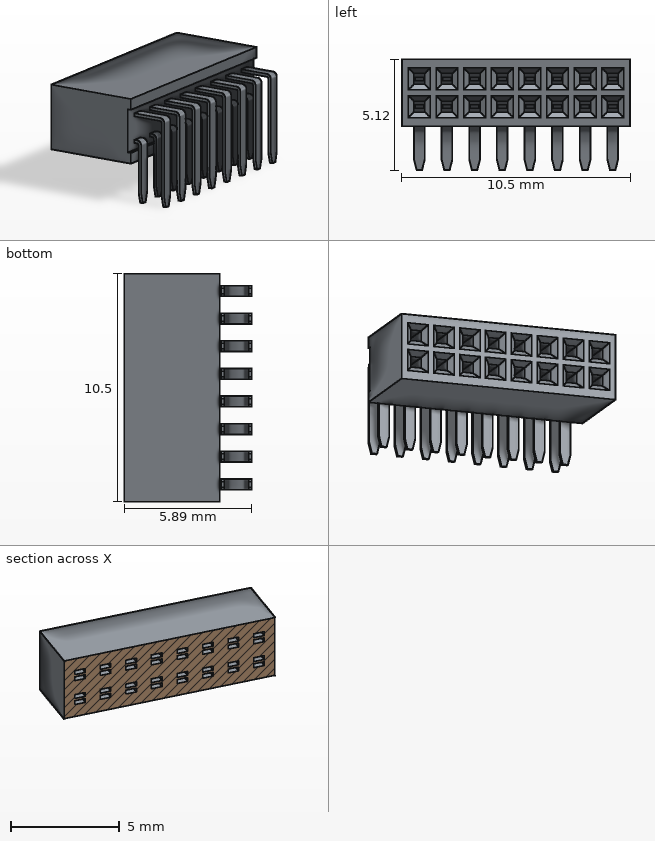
import cadquery as cq

housing_length = 10.51
housing_depth = 4.4
housing_height = 3.1
rear_recess_depth = 0.17
rear_lip_height = 0.51

pitch = 1.27
columns = 8
column_ys = [(index - (columns - 1) / 2) * pitch for index in range(columns)]
lower_row_z = (housing_height - pitch) / 2
upper_row_z = (housing_height + pitch) / 2

pin_width = 0.5
socket_width = pin_width
funnel_depth = 0.25
funnel_mouth = socket_width + 2 * funnel_depth
socket_depth = 3.15

pin_thickness = 0.15
bend_radius = 0.23
inner_bend_radius = bend_radius - pin_thickness
upper_pin_reach = 5.89
lower_pin_reach = upper_pin_reach - pitch
pin_drop = 2.02
tail_taper_length = 0.49
tail_tip_width = 0.25
nose_x = 2.1
nose_taper_length = 0.42
nose_width = 0.4


def make_housing():
    """Plain block with a recess along the rear, between an upper and a lower lip."""
    block = cq.Workplane("XY").box(
        housing_depth, housing_length, housing_height, centered=(False, True, False)
    )
    recess = (
        cq.Workplane("XY")
        .box(
            rear_recess_depth,
            housing_length,
            housing_height - 2 * rear_lip_height,
            centered=(False, True, False),
        )
        .translate((housing_depth - rear_recess_depth, 0, rear_lip_height))
    )
    return block.cut(recess)


def make_socket():
    """Cutter for one socket, centred on the X axis and entering at X = 0."""
    funnel = (
        cq.Workplane("YZ")
        .rect(funnel_mouth, funnel_mouth)
        .workplane(offset=funnel_depth)
        .rect(socket_width, socket_width)
        .loft(ruled=True)
    )
    hole = cq.Workplane("YZ").rect(socket_width, socket_width).extrude(socket_depth)
    return funnel.union(hole)


def make_pin(row_z, reach):
    """Pin at Y = 0 running along X at row_z, then bent straight down at X = reach."""
    top_z = row_z + pin_thickness / 2
    under_z = row_z - pin_thickness / 2
    inner_x = reach - pin_thickness
    bend_x = reach - bend_radius
    bend_z = top_z - bend_radius
    strip = (
        cq.Workplane("XZ")
        .moveTo(nose_x, top_z)
        .lineTo(bend_x, top_z)
        .radiusArc((reach, bend_z), bend_radius)
        .lineTo(reach, -pin_drop)
        .lineTo(inner_x, -pin_drop)
        .lineTo(inner_x, bend_z)
        .radiusArc((bend_x, under_z), -inner_bend_radius)
        .lineTo(nose_x, under_z)
        .close()
        .extrude(pin_width / 2, both=True)
    )

    half_width = pin_width / 2
    half_tip = tail_tip_width / 2
    taper_start_z = tail_taper_length - pin_drop
    tail_outline = (
        cq.Workplane("YZ")
        .polyline([
            (-half_width, top_z),
            (half_width, top_z),
            (half_width, taper_start_z),
            (half_tip, -pin_drop),
            (-half_tip, -pin_drop),
            (-half_width, taper_start_z),
        ])
        .close()
        .extrude(reach)
    )

    half_nose = nose_width / 2
    nose_outline = (
        cq.Workplane("XY", origin=(0, 0, -pin_drop))
        .polyline([
            (nose_x, -half_nose),
            (nose_x + nose_taper_length, -half_width),
            (reach, -half_width),
            (reach, half_width),
            (nose_x + nose_taper_length, half_width),
            (nose_x, half_nose),
        ])
        .close()
        .extrude(pin_drop + top_z)
    )
    return strip.intersect(tail_outline).intersect(nose_outline)


result = make_housing()
for row_z, reach in ((lower_row_z, lower_pin_reach), (upper_row_z, upper_pin_reach)):
    socket = make_socket().translate((0, 0, row_z))
    pin = make_pin(row_z, reach)
    for column_y in column_ys:
        result = result.cut(socket.translate((0, column_y, 0)))
        result = result.union(pin.translate((0, column_y, 0)))